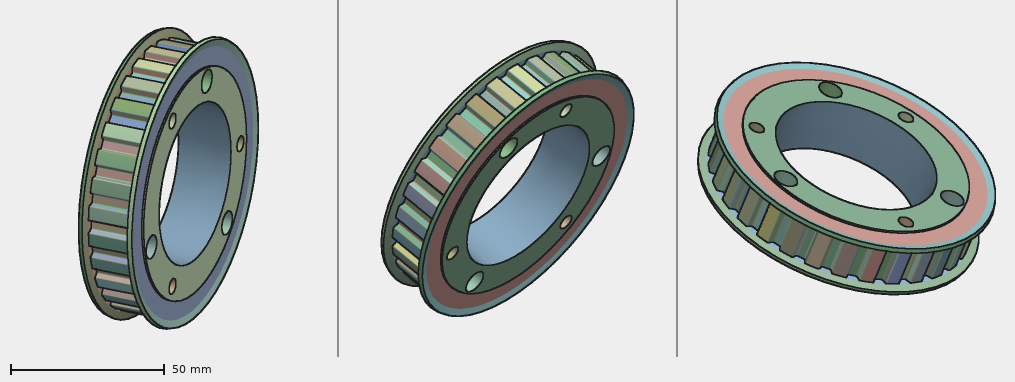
import cadquery as cq
import math


outer_radius = 48.3
width = 19.2
mid_x = width / 2

hub_radius = 38.9
bore_radius_wide = 27.7
bore_radius_narrow = 27.1

tooth_count = 30
tooth_tip_radius = 45.1
groove_depth = 2.1
groove_floor_width = 3.0
groove_wall_angle = 20.0
groove_floor_fillet = 0.5
tooth_tip_fillet = 0.4
cutter_overshoot = 1.0

sheet_thickness = 1.5
flare_start_radius = 45.4
flare_angle = 16.0

bolt_circle_radius = 34.2
holes_per_set = 3
large_hole_diameter = 7.9
large_hole_start = 75.0
small_hole_diameter = 5.1
small_hole_start = 0.0

flare = math.radians(flare_angle)
lip_inner_x = sheet_thickness * math.cos(flare)
lip_end_radius = outer_radius - sheet_thickness * math.sin(flare)
ring_outer_x = (lip_end_radius - flare_start_radius) * math.tan(flare)
ring_inner_x = ring_outer_x + sheet_thickness
inner_bend_radius = outer_radius - (ring_inner_x - lip_inner_x) / math.tan(flare)


def disc(radius, start_x, length):
    """Solid disc along X."""
    return cq.Workplane("YZ").workplane(offset=start_x).circle(radius).extrude(length)


def revolve_about_x(profile):
    """Turn an (x, radius) outline about the X axis."""
    return cq.Workplane("XY").polyline(profile).close().revolve(360, (0, 0, 0), (1, 0, 0))


def make_flange():
    """Flange at the -X end, solid down to the axis."""
    return revolve_about_x([
        (ring_inner_x, 0),
        (ring_inner_x, inner_bend_radius),
        (lip_inner_x, outer_radius),
        (0, lip_end_radius),
        (ring_outer_x, flare_start_radius),
        (ring_outer_x, 0),
    ])


def make_groove_cutter(start_x, length):
    """Straight-sided groove on the +Y side, rounded along both edges of its floor."""
    floor_radius = tooth_tip_radius - groove_depth
    top_radius = tooth_tip_radius + cutter_overshoot
    half_floor = groove_floor_width / 2
    half_top = half_floor + (top_radius - floor_radius) * math.tan(math.radians(groove_wall_angle))
    outline = [
        (floor_radius, -half_floor),
        (top_radius, -half_top),
        (top_radius, half_top),
        (floor_radius, half_floor),
    ]
    cutter = cq.Workplane("YZ").workplane(offset=start_x).polyline(outline).close().extrude(length)
    return cutter.edges("|X and <Y").fillet(groove_floor_fillet)


def is_tip_edge(edge):
    """True for the lengthwise edges on the tooth tips."""
    center = edge.Center()
    return math.hypot(center.y, center.z) > tooth_tip_radius - groove_depth / 2


def make_toothed_rim():
    """Rim between the flanges, with one groove centred on +Y."""
    length = width - 2 * ring_inner_x
    cutter = make_groove_cutter(ring_inner_x, length)
    rim = disc(tooth_tip_radius, ring_inner_x, length)
    for i in range(tooth_count):
        rim = rim.cut(cutter.rotate((0, 0, 0), (1, 0, 0), i * 360 / tooth_count))
    return rim.edges("|X").filter(is_tip_edge).fillet(tooth_tip_fillet)


def make_bore():
    """Tapered bore through the full width."""
    return revolve_about_x([(0, 0), (0, bore_radius_wide), (width, bore_radius_narrow), (width, 0)])


def make_holes(diameter, start_angle):
    """One set of equally spaced through holes on the bolt circle."""
    centers = cq.Workplane("YZ").polarArray(bolt_circle_radius, start_angle, 360, holes_per_set)
    return centers.circle(diameter / 2).extrude(width)


flange = make_flange()
pulley = make_toothed_rim()
pulley = pulley.union(flange)
pulley = pulley.union(flange.mirror("YZ", (mid_x, 0, 0)))
pulley = pulley.union(disc(hub_radius, 0, width))
pulley = pulley.cut(make_bore())
pulley = pulley.cut(make_holes(large_hole_diameter, large_hole_start))
pulley = pulley.cut(make_holes(small_hole_diameter, small_hole_start))
result = pulley.translate((-mid_x, 0, 0))